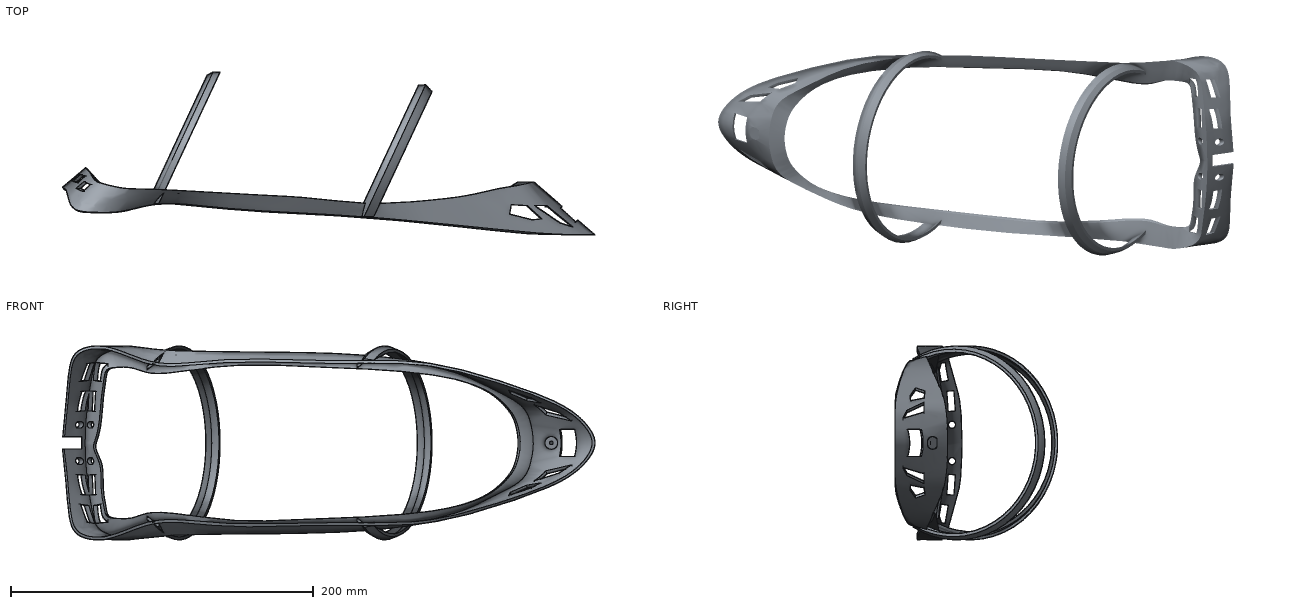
import cadquery as cq
import math

LENGTH = 351.94
HALF_WIDTH = 64.15

WALL = 2.0
STATIONS = [
    ((0.0, 31.5, 0.0), (15.4, 44.5, 0.0), (22.5, 34.5, 0.0)),
    ((0.8, 31.1, 12.0), (15.6, 44.2, 12.0), (25.5, 33.0, 12.0)),
    ((2.4, 29.6, 27.6), (17.0, 43.0, 27.6), (27.0, 32.0, 27.6)),
    ((4.2, 23.0, 46.8), (20.0, 38.0, 46.8), (29.0, 29.5, 43.0)),
    ((9.5, 16.5, 60.0), (25.0, 34.5, 58.5), (32.0, 29.0, 49.0)),
    ((22.0, 15.0, 64.1), (37.0, 31.5, 63.6), (40.0, 28.5, 50.0)),
    ((38.0, 15.5, 61.0), (48.0, 30.5, 63.6), (48.0, 27.5, 49.5)),
    ((58.6, 19.9, 53.8), (66.0, 30.0, 61.5), (60.0, 27.0, 47.0)),
    ((100.0, 18.5, 54.5), (100.0, 28.0, 60.3), (100.0, 25.0, 51.0)),
    ((168.0, 14.0, 54.5), (168.0, 24.0, 59.6), (168.0, 21.0, 51.0)),
    ((200.0, 12.0, 54.5), (200.0, 21.0, 58.0), (200.0, 18.0, 49.5)),
    ((240.0, 8.5, 53.0), (240.0, 22.7, 53.0), (240.0, 19.0, 45.5)),
    ((285.0, 4.0, 42.3), (272.0, 27.0, 43.0), (270.5, 24.0, 38.6)),
    ((311.6, 1.5, 33.2), (290.0, 31.0, 34.0), (286.0, 28.0, 30.2)),
    ((331.0, 0.4, 24.5), (305.0, 33.5, 24.0), (296.0, 32.0, 19.5)),
    ((346.0, 0.1, 12.5), (310.5, 34.8, 10.5), (300.0, 34.5, 9.0)),
    ((LENGTH, 0.0, 0.0), (311.6, 35.0, 0.0), (301.0, 35.0, 0.0)),
]

ARCH_LEAN = 25.0
ARCH_RADIUS = HALF_WIDTH
ARCH_THICKNESS = 2.0
FRONT_ARCH_CENTRE = (74.0, 51.0)
FRONT_ARCH_FOOT_Y = 20.6
FRONT_ARCH_RIDGES = [(-3.5, 3.6, 2.0), (-0.8, 1.5, 0.5), (3.5, 0.0, 0.0)]
REAR_ARCH_CENTRE = (212.9, 41.1)
REAR_ARCH_FOOT_Y = 12.2
REAR_ARCH_RIDGES = [(-4.2, 2.2, 0.0), (0.0, 0.0, 0.0), (5.8, 2.2, 0.0)]

CHIN_CUT_LENGTH = 30.0
CHIN_HOLE_Y = 37.8
CHIN_HOLE_Z = 12.0
CHIN_HOLE_DIAMETER = 4.6
CHIN_WINDOWS = [(37.2, 27.6, 13.3, 4.6, 4.0), (32.0, 46.8, 12.0, 4.6, 10.0)]
NOTCH_WIDTH = 8.0
NOTCH_DEPTH = 12.7

TAIL_WINDOW_CENTRE = (335.0, 14.0)
TAIL_WINDOW_LENGTH = 13.5
TAIL_WINDOW_WIDTH = 17.8
TAIL_WINDOW_CUT = 16.0
SIDE_WINDOWS = [
    [(313.0, 19.3), (322.0, 19.3), (338.0, 5.3), (329.0, 8.0)],
    [(297.0, 19.9), (307.7, 19.3), (316.4, 10.6), (310.0, 10.0), (295.4, 13.8)],
]
FLANK_START = (300.0, 34.0)
FLANK_SLOPE = -0.42
SIDE_WINDOW_CUT = 9.0
BOSS_X = 323.0
BOSS_DIAMETER = 8.4
BOSS_FOOT_Y = 18.5
BOSS_LENGTH = 9.5
BOSS_HOLE_DIAMETER = 2.4
BOSS_HOLE_DEPTH = 5.0


def ring_section(foot, crest, tip):
    """Six corners of the L-section at one station."""
    foot, crest, tip = (cq.Vector(*p) for p in (foot, crest, tip))
    inward = (tip - crest).normalized() * WALL
    down = (foot - crest).normalized() * WALL
    return [foot, crest, tip, tip + down, crest + inward + down, foot + inward]


def frame_ring():
    """Close six smooth corner curves round the ring and rule faces between them."""
    mirrored = [tuple((x, y, -z) for x, y, z in s) for s in STATIONS[-2:0:-1]]
    loop = STATIONS + mirrored
    sections = [ring_section(*s) for s in loop]
    feet = [cq.Vector(*s[0]) for s in loop]
    travel = [0.0]
    for here, ahead in zip(feet, feet[1:] + feet[:1]):
        travel.append(travel[-1] + (ahead - here).Length)
    curves = [
        cq.Edge.makeSpline(list(corner), periodic=True, parameters=travel)
        for corner in zip(*sections)
    ]
    faces = [cq.Face.makeRuledSurface(a, b) for a, b in zip(curves, curves[1:] + curves[:1])]
    return cq.Workplane(cq.Solid.makeSolid(cq.Shell.makeShell(faces)))


def arch(centre, ridges, foot_y):
    """Thin ruled band through leaning circles, trimmed where it meets the frame foot."""
    lean = math.radians(ARCH_LEAN)
    axis = cq.Vector(math.cos(lean), -math.sin(lean), 0)
    rise = cq.Vector(math.sin(lean), math.cos(lean), 0)

    def drum(inset):
        circles = [
            cq.Wire.makeCircle(
                ARCH_RADIUS - drop - inset,
                cq.Vector(*centre, 0) + axis * offset - rise * shift,
                axis,
            )
            for offset, drop, shift in ridges
        ]
        return cq.Workplane(cq.Solid.makeLoft(circles, True))

    keep = cq.Workplane("XY").box(LENGTH, LENGTH, LENGTH).translate((*centre, 0))
    keep = keep.translate((0, LENGTH / 2 + foot_y - centre[1], 0))
    return drum(0).cut(drum(ARCH_THICKNESS)).intersect(keep)


def chin_openings():
    """Holes and windows along X through both faces of the chin ridge, and the centre notch."""
    cuts = (
        cq.Workplane("YZ")
        .pushPoints([(CHIN_HOLE_Y, CHIN_HOLE_Z), (CHIN_HOLE_Y, -CHIN_HOLE_Z)])
        .circle(CHIN_HOLE_DIAMETER / 2)
        .extrude(CHIN_CUT_LENGTH)
    )
    for y, z, length, width, tilt in CHIN_WINDOWS:
        for side in (1, -1):
            window = cq.Workplane("XY").box(CHIN_CUT_LENGTH, width, length)
            window = window.rotate((0, 0, 0), (1, 0, 0), side * tilt)
            cuts = cuts.union(window.translate((CHIN_CUT_LENGTH / 2, y, side * z)))
    notch = cq.Workplane("XZ").rect(2 * NOTCH_DEPTH, NOTCH_WIDTH).extrude(-HALF_WIDTH)
    return cuts.union(notch)


def tail_openings():
    """The window across the tail tip and the pairs of windows on its flanks."""
    (foot_x, foot_y, _), (crest_x, crest_y, _) = STATIONS[-1][:2]
    tip_slope = math.degrees(math.atan2(crest_y - foot_y, foot_x - crest_x))
    cuts = (
        cq.Workplane("XY")
        .box(TAIL_WINDOW_LENGTH, TAIL_WINDOW_CUT, TAIL_WINDOW_WIDTH)
        .rotate((0, 0, 0), (0, 0, 1), -tip_slope)
        .translate((*TAIL_WINDOW_CENTRE, 0))
    )
    start_x, start_z = FLANK_START
    outward = cq.Vector(-FLANK_SLOPE, 0, 1).normalized() * SIDE_WINDOW_CUT
    for corners in SIDE_WINDOWS:
        outline = [cq.Vector(x, y, start_z + FLANK_SLOPE * (x - start_x)) - outward for x, y in corners]
        wire = cq.Wire.makePolygon(outline, close=True)
        window = cq.Workplane(cq.Solid.extrudeLinear(wire, [], outward * 2))
        cuts = cuts.union(window).union(window.mirror("XY"))
    return cuts


def boss():
    """Stub along Y reaching from inside the tail up to the tail wall."""
    foot = cq.Workplane("XZ", origin=(BOSS_X, BOSS_FOOT_Y, 0))
    return foot.circle(BOSS_DIAMETER / 2).extrude(-BOSS_LENGTH)


def boss_hole():
    foot = cq.Workplane("XZ", origin=(BOSS_X, BOSS_FOOT_Y, 0))
    return foot.circle(BOSS_HOLE_DIAMETER / 2).extrude(-BOSS_HOLE_DEPTH)


def above_tail():
    """Wedge of space outside the tail wall, to trim the boss."""
    (foot_x, foot_y, _), (crest_x, crest_y, _) = STATIONS[-1][:2]
    corners = [(foot_x, foot_y), (crest_x, crest_y), (foot_x, crest_y)]
    return cq.Workplane("XY").polyline(corners).close().extrude(BOSS_DIAMETER, both=True)


result = (
    frame_ring()
    .cut(chin_openings())
    .cut(tail_openings())
    .union(arch(FRONT_ARCH_CENTRE, FRONT_ARCH_RIDGES, FRONT_ARCH_FOOT_Y))
    .union(arch(REAR_ARCH_CENTRE, REAR_ARCH_RIDGES, REAR_ARCH_FOOT_Y))
    .union(boss().cut(above_tail()))
    .cut(boss_hole())
)